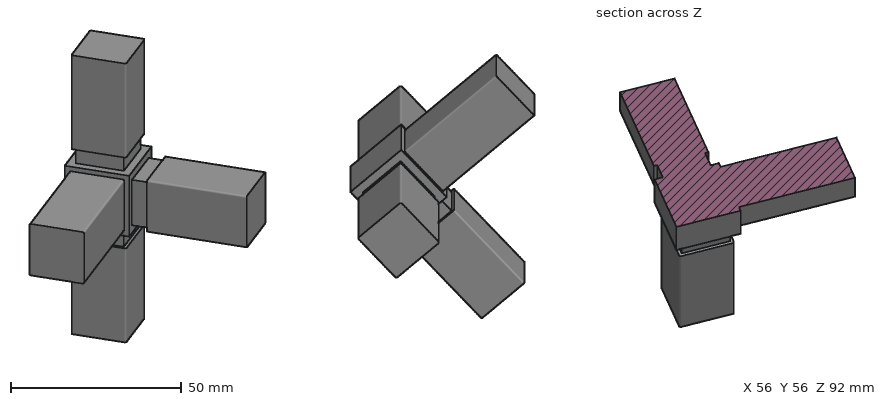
import cadquery as cq

total_height = 92.0
hub_size = 20.1
neck_width = 15.0
neck_length = 5.0
plug_width = 17.0
edge_radius = 0.55

arm_length = (total_height - hub_size) / 2
hub_face = hub_size / 2


def square_bar(direction, width, start, length):
    """Square bar along a direction, starting at a distance from the hub centre."""
    origin = cq.Vector(*direction) * start
    side = (0, 1, 0) if direction[0] else (1, 0, 0)
    plane = cq.Plane(origin=origin, xDir=side, normal=direction)
    return cq.Workplane(plane).rect(width, width).extrude(length)


def plug(direction, start, length):
    """Tube plug with its four long edges rounded."""
    axis = "X" if direction[0] else "Y" if direction[1] else "Z"
    bar = square_bar(direction, plug_width, start, length)
    return bar.edges("|" + axis).fillet(edge_radius)


def necked_arm(direction):
    """Plug set off from the hub by a narrower neck."""
    neck = square_bar(direction, neck_width, hub_face, neck_length)
    return neck.union(plug(direction, hub_face + neck_length, arm_length - neck_length))


result = cq.Workplane("XY").box(hub_size, hub_size, hub_size)

for arm_direction in [(0, 0, 1), (0, 0, -1), (1, 0, 0)]:
    result = result.union(necked_arm(arm_direction))

result = result.union(plug((0, -1, 0), hub_face, arm_length))